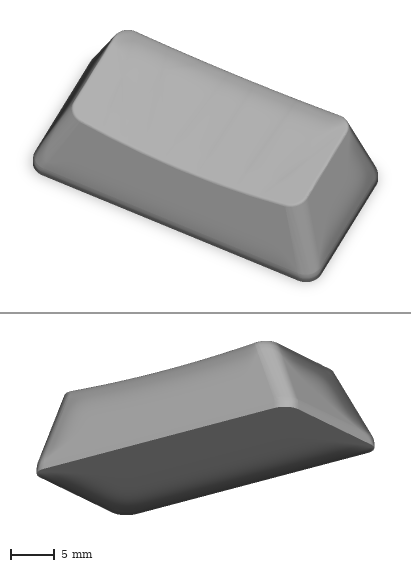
import cadquery as cq
import math

length = 37.2
depth = 18.15

corner_radius = 1.97
band_height = 0.7
bend_end_z = 1.3

side_lean = 23.0
front_lean = 22.1
back_lean = 5.1

blank_height = 10.05
rim_half_length = 14.5
rim_z_front = 9.15
rim_z_back = 9.35
dish_depth_front = 1.1
dish_depth_back = 0.55
rim_radius = 0.37


def wall_inset(z, lean_degrees):
    """Distance a wall has moved inward at height z: upright, then a tangent arc, then straight."""
    lean = math.radians(lean_degrees)
    bend_radius = (bend_end_z - band_height) / math.sin(lean)
    height_in_bend = min(max(z - band_height, 0), bend_end_z - band_height)
    bend_inset = bend_radius - math.sqrt(bend_radius**2 - height_in_bend**2)
    return bend_inset + max(z - bend_end_z, 0) * math.tan(lean)


def outline(z):
    """Rounded rectangle that the walls form at height z."""
    side = wall_inset(z, side_lean)
    front = wall_inset(z, front_lean)
    back = wall_inset(z, back_lean)
    center = cq.Vector(0, (front - back) / 2, z)
    sketch = cq.Sketch().rect(length - 2 * side, depth - front - back)
    return sketch.vertices().fillet(corner_radius).moved(cq.Location(center))


def make_layer(heights, ruled):
    """Solid lofted through the outlines at the given heights."""
    return cq.Workplane().placeSketch(*[outline(z) for z in heights]).loft(ruled=ruled)


def dish_section(y, rim_z, dish_depth):
    """Closed wire in an XZ plane whose lower side is the dish arc."""
    radius = (rim_half_length**2 + dish_depth**2) / (2 * dish_depth)
    half_width = length / 2
    floor_z = rim_z - dish_depth
    arc_end_z = floor_z + radius - math.sqrt(radius**2 - half_width**2)
    cutter_top = 2 * blank_height
    return (
        cq.Workplane("XZ", origin=(0, y, 0))
        .moveTo(-half_width, arc_end_z)
        .threePointArc((0, floor_z), (half_width, arc_end_z))
        .lineTo(half_width, cutter_top)
        .lineTo(-half_width, cutter_top)
        .close()
        .val()
    )


def make_dish_cutter():
    """Ruled solid that gets deeper toward the front."""
    front = dish_section(-depth / 2, rim_z_front, dish_depth_front)
    back = dish_section(depth / 2, rim_z_back, dish_depth_back)
    return cq.Workplane(cq.Solid.makeLoft([front, back], True))


bend_middle_z = (band_height + bend_end_z) / 2
band = make_layer([0, band_height], ruled=True)
bend = make_layer([band_height, bend_middle_z, bend_end_z], ruled=False)
walls = make_layer([bend_end_z, blank_height], ruled=True)
body = band.union(bend).union(walls)

dished = body.cut(make_dish_cutter())
result = dished.faces(">Z").edges().fillet(rim_radius)